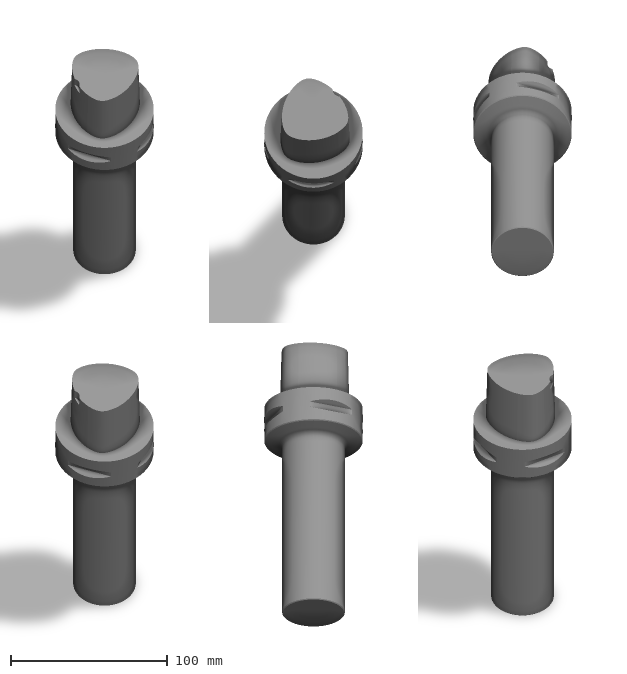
import cadquery as cq
import math

total_height = 183.0
collar_top = 145.5
collar_bottom = 122.6
shank_diameter = 40.0
collar_diameter = 63.0
shank_radius = shank_diameter / 2
collar_radius = collar_diameter / 2

collar_chamfer = 0.5
underside_angle = 15.0
underside_fillet = 3.1
shank_chamfer = 0.5

polygon_radius = 22.1
lobe_height = 1.74
taper_ratio = 1 / 20
flank_centers = (30, 150, 270)
flank_spacing = 120
flank_half_angle = 22.5
curve_points = 7

groove_z = 133.4
groove_floor_width = 3.7
groove_floor_distance = 27.8
groove_flank_angle = 30.0
groove_overcut = 1.8
groove_angles = (45, 135, 225, 315)

notch_radius = 5.1
notch_floor_y = -18.0
notch_depth = 6.2


def make_body():
    """Revolve the shank and the collar with its sloping underside."""
    slope_top = collar_bottom - collar_chamfer
    slope_drop = (collar_radius - shank_radius) * math.tan(math.radians(underside_angle))
    slope_foot = slope_top - slope_drop
    turn = math.radians(90 - underside_angle)
    tangent_length = underside_fillet * math.tan(turn / 2)
    center_x = shank_radius + underside_fillet
    center_z = slope_foot - tangent_length

    def fillet_point(angle):
        return (
            center_x - underside_fillet * math.cos(angle),
            center_z + underside_fillet * math.sin(angle),
        )

    return (
        cq.Workplane("XZ")
        .lineTo(shank_radius - shank_chamfer, 0)
        .lineTo(shank_radius, shank_chamfer)
        .lineTo(*fillet_point(0))
        .threePointArc(fillet_point(turn / 2), fillet_point(turn))
        .lineTo(collar_radius - collar_chamfer, slope_top)
        .lineTo(collar_radius, collar_bottom)
        .lineTo(collar_radius, collar_top)
        .lineTo(0, collar_top)
        .close()
        .revolve(360, (0, 0), (0, 1))
    )


def polygon_point(radius, degrees, z):
    """Point of the polygon whose outward normal has the given direction."""
    normal = math.radians(degrees)
    phase = 3 * (normal - math.pi / 2)
    support = radius + lobe_height * math.cos(phase)
    slope = -3 * lobe_height * math.sin(phase)
    x = support * math.cos(normal) - slope * math.sin(normal)
    y = support * math.sin(normal) + slope * math.cos(normal)
    return cq.Vector(x, y, z)


def polygon_wire(radius, z):
    """Three flanks and three lobes, each one spline."""
    edges = []
    for flank_center in flank_centers:
        flank_start = flank_center - flank_half_angle
        flank_end = flank_center + flank_half_angle
        next_flank = flank_start + flank_spacing
        for start, end in ((flank_start, flank_end), (flank_end, next_flank)):
            step = (end - start) / (curve_points - 1)
            points = [polygon_point(radius, start + i * step, z) for i in range(curve_points)]
            edges.append(cq.Edge.makeSpline(points))
    return cq.Wire.assembleEdges(edges)


def make_taper():
    """Tapered three-lobed polygon standing on the collar."""
    top_radius = polygon_radius - (total_height - collar_top) * taper_ratio / 2
    base = polygon_wire(polygon_radius, collar_top)
    top = polygon_wire(top_radius, total_height)
    return cq.Workplane(cq.Solid.makeLoft([base, top], True))


def make_groove(angle):
    """Straight trapezoidal cutter, flat floor and flared flanks."""
    outer_distance = collar_radius + groove_overcut
    floor_half = groove_floor_width / 2
    flare = (outer_distance - groove_floor_distance) * math.tan(math.radians(groove_flank_angle))
    outer_half = floor_half + flare
    return (
        cq.Workplane("XZ")
        .moveTo(groove_floor_distance, groove_z - floor_half)
        .lineTo(outer_distance, groove_z - outer_half)
        .lineTo(outer_distance, groove_z + outer_half)
        .lineTo(groove_floor_distance, groove_z + floor_half)
        .close()
        .extrude(collar_radius, both=True)
        .rotate((0, 0, 0), (0, 0, 1), angle)
    )


def make_notch():
    """Vertical round cutter for the key notch."""
    return (
        cq.Workplane("XY", origin=(0, notch_floor_y - notch_radius, total_height - notch_depth))
        .circle(notch_radius)
        .extrude(notch_depth)
    )


result = make_body().union(make_taper())
for groove_angle in groove_angles:
    result = result.cut(make_groove(groove_angle))
result = result.cut(make_notch())